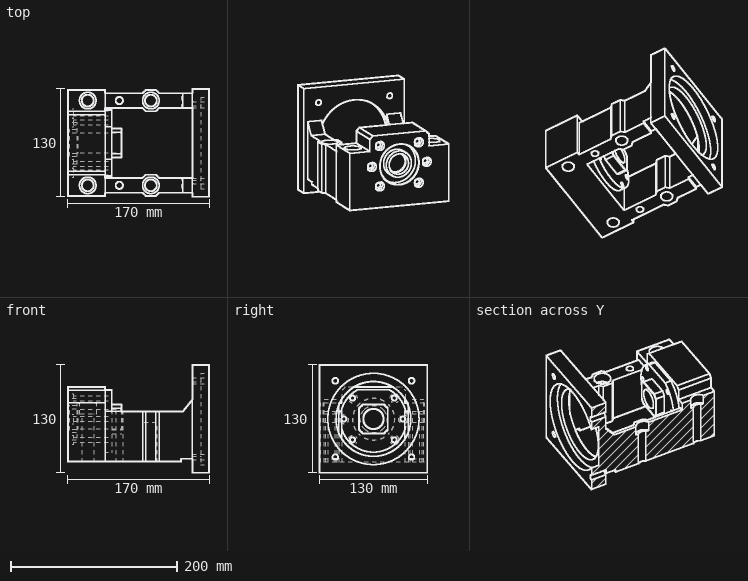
import cadquery as cq
import math


TOTAL_LENGTH = 170.0
PLATE_SIZE = 130.0
BASE_Z = -51.5

PLATE_THICKNESS = 20.0
PLATE_FACE_X = TOTAL_LENGTH - PLATE_THICKNESS
PLATE_BORE_DIA = 90.0
PILOT_DIA = 110.0
PILOT_DEPTH = 10.0
MOTOR_BOLT_CIRCLE_DIA = 130.0
MOTOR_HOLE_DIA = 6.8
MOTOR_HOLE_ANGLES = (45, 135, 225, 315)

HEAD_LENGTH = 45.0
HEAD_WIDTH = 128.0
SHOULDER_Z = 19.5
HEAD_TOP_Z = 38.5
HEAD_TOP_WIDTH = 76.5
HEAD_TOP_CHAMFER = 4.0

BOSS_DIA = 80.0
BOSS_LENGTH = 8.0
BOSS_FLAT_Z = 35.0
NOSE_SIZE = 35.0
NOSE_LENGTH = 12.0
NOSE_CORNER_CHAMFER = 4.5
NOSE_END_CHAMFER = 0.5
BOSS_END_X = HEAD_LENGTH + BOSS_LENGTH
NOSE_END_X = BOSS_END_X + NOSE_LENGTH

RECESS_DIA = 50.0
RECESS_DEPTH = 11.0
RECESS_CHAMFER = 0.4
HUB_DIA = 32.5
HUB_SETBACK = 2.0
HUB_BORE_DIA = 25.0
HUB_BORE_END_X = 11.0
BORE_DIA = 24.0
BORE_TAPER_LENGTH = 1.0

SCREW_CIRCLE_DIA = 71.0
SCREW_ANGLES = (0, 45, 135, 180, 225, 315)
SCREW_DIA = 6.0
SCREW_HEAD_DIA = 11.0
SCREW_HEAD_DEPTH = 6.5

ARM_CENTER_Y = 51.0
ARM_THICKNESS = 18.0
ARM_TOP_Z = 9.0
GUSSET_LENGTH = 11.5
GUSSET_HEIGHT = 14.5
NOTCH_LENGTH = 13.5
NOTCH_HEIGHT = 3.5

PAD_CENTER_X = 100.0
PAD_LENGTH = 20.0
PAD_WIDTH = 26.0
PAD_CHAMFER = (PAD_WIDTH - ARM_THICKNESS) / 2

MOUNT_X_POSITIONS = (24.0, PAD_CENTER_X)
MOUNT_DIA = 14.0
MOUNT_HEAD_DIA = 20.0
MOUNT_HEAD_DEPTH = 13.0
PIN_X = 62.0
PIN_DIA = 8.5


def block(x_range, y_range, z_range):
    """Box between two limits on every axis."""
    size = [high - low for low, high in (x_range, y_range, z_range)]
    corner = (x_range[0], y_range[0], z_range[0])
    return cq.Workplane("XY").box(*size, centered=False).translate(corner)


def x_cylinder(diameter, x_start, x_end, y=0.0, z=0.0):
    """Cylinder parallel to the spindle axis."""
    plane = cq.Workplane("YZ", origin=(x_start, y, z))
    return plane.circle(diameter / 2).extrude(x_end - x_start)


def x_cone(start_dia, end_dia, x_start, x_end):
    """Truncated cone on the spindle axis."""
    profile = [(x_start, 0), (x_start, start_dia / 2), (x_end, end_dia / 2), (x_end, 0)]
    return cq.Workplane("XY").polyline(profile).close().revolve(360, (0, 0), (1, 0))


def z_cylinder(diameter, x, y, z_start, z_end):
    """Vertical cylinder."""
    plane = cq.Workplane("XY", origin=(x, y, z_start))
    return plane.circle(diameter / 2).extrude(z_end - z_start)


def polar_yz(diameter, angle):
    """Y and Z of a point on a circle about the spindle axis."""
    turn = math.radians(angle)
    return diameter / 2 * math.cos(turn), diameter / 2 * math.sin(turn)


def motor_plate():
    half = PLATE_SIZE / 2
    plate = block((PLATE_FACE_X, TOTAL_LENGTH), (-half, half), (-half, half))
    plate = plate.cut(x_cylinder(PLATE_BORE_DIA, PLATE_FACE_X, TOTAL_LENGTH))
    plate = plate.cut(x_cylinder(PILOT_DIA, TOTAL_LENGTH - PILOT_DEPTH, TOTAL_LENGTH))
    for angle in MOTOR_HOLE_ANGLES:
        y, z = polar_yz(MOTOR_BOLT_CIRCLE_DIA, angle)
        plate = plate.cut(x_cylinder(MOTOR_HOLE_DIA, PLATE_FACE_X, TOTAL_LENGTH, y, z))
    return plate


def bearing_head():
    half = HEAD_WIDTH / 2
    half_top = HEAD_TOP_WIDTH / 2
    lower = block((0, HEAD_LENGTH), (-half, half), (BASE_Z, SHOULDER_Z))
    upper = block((0, HEAD_LENGTH), (-half_top, half_top), (BASE_Z, HEAD_TOP_Z))
    upper = upper.faces(">Z").edges("|X").chamfer(HEAD_TOP_CHAMFER)
    return lower.union(upper)


def rear_bosses():
    radius = BOSS_DIA / 2
    boss = x_cylinder(BOSS_DIA, HEAD_LENGTH, BOSS_END_X)
    boss = boss.cut(block((HEAD_LENGTH, BOSS_END_X), (-radius, radius), (BOSS_FLAT_Z, radius)))
    half = NOSE_SIZE / 2
    nose = block((BOSS_END_X, NOSE_END_X), (-half, half), (-half, half))
    nose = nose.edges("|X").chamfer(NOSE_CORNER_CHAMFER)
    nose = nose.faces(">X").edges().chamfer(NOSE_END_CHAMFER)
    return boss.union(nose)


def side_arm(side):
    """Arm with its gusset, notch and screw pad; side is +1 or -1 along Y."""
    center_y = side * ARM_CENTER_Y
    profile = [
        (HEAD_LENGTH, BASE_Z),
        (PLATE_FACE_X - NOTCH_LENGTH, BASE_Z),
        (PLATE_FACE_X - NOTCH_LENGTH, BASE_Z + NOTCH_HEIGHT),
        (PLATE_FACE_X, BASE_Z + NOTCH_HEIGHT),
        (PLATE_FACE_X, ARM_TOP_Z + GUSSET_HEIGHT),
        (PLATE_FACE_X - GUSSET_LENGTH, ARM_TOP_Z),
        (HEAD_LENGTH, ARM_TOP_Z),
    ]
    arm_plane = cq.Workplane("XZ", origin=(0, center_y, 0))
    arm = arm_plane.polyline(profile).close().extrude(ARM_THICKNESS / 2, both=True)
    pad = block(
        (PAD_CENTER_X - PAD_LENGTH / 2, PAD_CENTER_X + PAD_LENGTH / 2),
        (center_y - PAD_WIDTH / 2, center_y + PAD_WIDTH / 2),
        (BASE_Z, ARM_TOP_Z),
    )
    return arm.union(pad.edges("|Z").chamfer(PAD_CHAMFER))


def spindle_cavity():
    """Annular recess around a set-back hub, and the stepped through bore."""
    recess = x_cylinder(RECESS_DIA, 0, RECESS_DEPTH)
    recess = recess.cut(x_cylinder(HUB_DIA, HUB_SETBACK, RECESS_DEPTH))
    mouth = x_cone(RECESS_DIA + 2 * RECESS_CHAMFER, RECESS_DIA, 0, RECESS_CHAMFER)
    hub_bore = x_cylinder(HUB_BORE_DIA, 0, HUB_BORE_END_X)
    taper = x_cone(HUB_BORE_DIA, BORE_DIA, HUB_BORE_END_X, HUB_BORE_END_X + BORE_TAPER_LENGTH)
    bore = x_cylinder(BORE_DIA, 0, NOSE_END_X)
    return recess.union(mouth).union(hub_bore).union(taper).union(bore)


def spindle_screw_holes():
    holes = cq.Workplane("YZ")
    for angle in SCREW_ANGLES:
        y, z = polar_yz(SCREW_CIRCLE_DIA, angle)
        holes = holes.add(x_cylinder(SCREW_DIA, 0, BOSS_END_X, y, z))
        holes = holes.add(x_cylinder(SCREW_HEAD_DIA, 0, SCREW_HEAD_DEPTH, y, z))
    return holes.combine()


def vertical_holes(side):
    """Counterbored mounting holes and the pin hole on one side."""
    y = side * ARM_CENTER_Y
    holes = z_cylinder(PIN_DIA, PIN_X, y, BASE_Z, ARM_TOP_Z)
    for x, top_z in zip(MOUNT_X_POSITIONS, (SHOULDER_Z, ARM_TOP_Z)):
        holes = holes.union(z_cylinder(MOUNT_DIA, x, y, BASE_Z, top_z))
        holes = holes.union(z_cylinder(MOUNT_HEAD_DIA, x, y, top_z - MOUNT_HEAD_DEPTH, top_z))
    return holes


body = motor_plate().union(bearing_head()).union(rear_bosses())
for side in (1, -1):
    body = body.union(side_arm(side)).cut(vertical_holes(side))
result = body.cut(spindle_cavity()).cut(spindle_screw_holes())